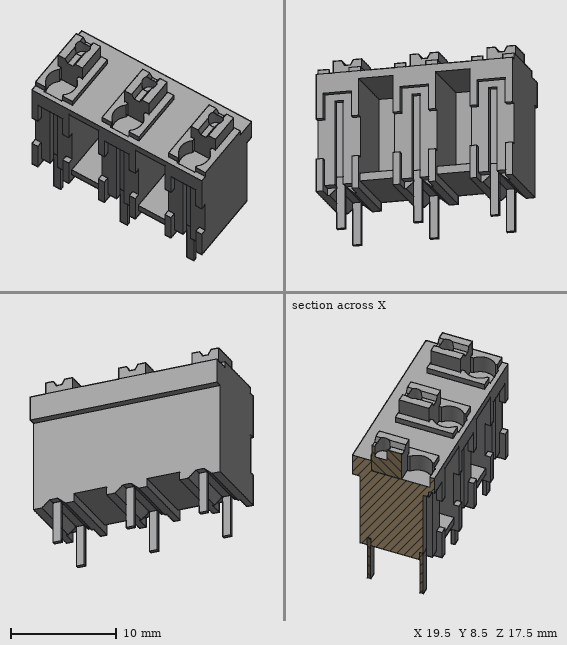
import cadquery as cq


LENGTH = 19.46
POLE_WIDTH = 4.22
PITCH = (LENGTH - POLE_WIDTH) / 2
POLE_CENTERS = [-PITCH, 0.0, PITCH]
GAP_WIDTH = PITCH - POLE_WIDTH
GAP_CENTERS = [-PITCH / 2, PITCH / 2]

DEPTH = 8.5
HOUSING_HEIGHT = 11.68
WALL = 0.78
OVERHANG = 0.78
OVERHANG_BOTTOM = 9.2
REAR_FACE = DEPTH - OVERHANG
WEB_FRONT = 0.5
WEB_TOP = 1.62
WEB_BOTTOM = WEB_TOP - WALL

FRAME_DEPTH = 0.58
FRAME_OPENING_WIDTH = 2.8
FRAME_OPENING_TOP = 9.73
PRONG_BOTTOM = 7.24
LEG_TOP = 3.23
LEG_SPACING = 2.86

PIN_WIDTH = 0.82
PIN_THICKNESS = 0.39
PIN_DROP = 3.5
PIN_TOP = WEB_TOP
PIN_FRONT_ROW = 1.17
PIN_ROW_SPACING = 5.43
PIN_ROWS = [PIN_FRONT_ROW, PIN_FRONT_ROW + PIN_ROW_SPACING]

SLOT_TOP = 9.05
RELIEF_HEIGHT = 0.7
RELIEF_BACK = PIN_FRONT_ROW + PIN_THICKNESS
CHANNEL_WIDTH = 2.47

PAD_TOP = 12.28
PAD_FRONT = 0.62
PAD_BACK = 6.6
ENTRY_FLOOR = 10.4
ENTRY_RADIUS = 1.52
ENTRY_CENTER = 1.97
ENTRY_NECK_WIDTH = 1.98
ENTRY_OFFSET = -0.04
ENTRY_FRONT = 0.49

BUTTON_WIDTH = 2.8
BUTTON_FRONT = 3.4
BUTTON_BACK = 6.5
BUTTON_TOP = 13.95
GROOVE_DEPTH = 0.5
GROOVE_TOP_WIDTH = 1.19
GROOVE_FLOOR_WIDTH = 0.58
BUTTON_HOLE_RADIUS = 0.72
BUTTON_HOLE_CENTER = 5.55
BUTTON_HOLE_FLOOR = PAD_TOP


def block(center_x, width, front, back, bottom, top):
    """A box centred on center_x, spanning front to back in Y and bottom to top in Z."""
    return (
        cq.Workplane("XY")
        .box(width, back - front, top - bottom, centered=(True, False, False))
        .translate((center_x, front, bottom))
    )


def tapered_bar(center_x, bottom_width, top_width, front, back, bottom, top):
    """A bar along Y whose section is a symmetric trapezoid."""
    return (
        cq.Workplane("XZ", origin=(center_x, front, 0))
        .moveTo(-bottom_width / 2, bottom)
        .lineTo(bottom_width / 2, bottom)
        .lineTo(top_width / 2, top)
        .lineTo(-top_width / 2, top)
        .close()
        .extrude(front - back)
    )


def make_shell():
    """Solid outline of the housing with its rear overhang, open gaps between the poles and webs."""
    shell = block(0, LENGTH, 0, REAR_FACE, 0, HOUSING_HEIGHT)
    shell = shell.union(block(0, LENGTH, REAR_FACE, DEPTH, OVERHANG_BOTTOM, HOUSING_HEIGHT))
    gap_back = REAR_FACE - WALL
    for x in GAP_CENTERS:
        shell = shell.cut(block(x, GAP_WIDTH, 0, gap_back, WEB_TOP, HOUSING_HEIGHT - WALL))
        shell = shell.cut(block(x, GAP_WIDTH, 0, WEB_FRONT, 0, WEB_TOP))
        shell = shell.cut(block(x, GAP_WIDTH, 0, REAR_FACE, 0, WEB_BOTTOM))
    return shell


def cut_front_face(housing, x):
    """Recess the pole's front wall behind the prongs and legs, and slot it above the pin."""
    housing = housing.cut(block(x, FRAME_OPENING_WIDTH, 0, FRAME_DEPTH, LEG_TOP, FRAME_OPENING_TOP))
    housing = housing.cut(block(x, LEG_SPACING, 0, FRAME_DEPTH, 0, LEG_TOP))
    housing = housing.cut(block(x, POLE_WIDTH, 0, FRAME_DEPTH, LEG_TOP, PRONG_BOTTOM))
    return housing.cut(block(x, PIN_WIDTH, 0, PIN_FRONT_ROW, 0, SLOT_TOP))


def cut_underside(housing, x):
    """Relieve the front of the pole's underside and run a tapered channel through to the rear."""
    housing = housing.cut(block(x, LEG_SPACING, 0, RELIEF_BACK, 0, RELIEF_HEIGHT))
    return housing.cut(tapered_bar(x, CHANNEL_WIDTH, PIN_WIDTH, 0, REAR_FACE, 0, RELIEF_HEIGHT))


def add_pad(housing, x):
    """Raise the pole's top pad and sink the keyhole-shaped wire entry into it."""
    housing = housing.union(block(x, POLE_WIDTH, PAD_FRONT, PAD_BACK, HOUSING_HEIGHT, PAD_TOP))
    entry_x = x + ENTRY_OFFSET
    bore = (
        cq.Workplane("XY", origin=(entry_x, ENTRY_CENTER, ENTRY_FLOOR))
        .circle(ENTRY_RADIUS)
        .extrude(PAD_TOP - ENTRY_FLOOR)
        .intersect(block(x, POLE_WIDTH, ENTRY_FRONT, BUTTON_FRONT, ENTRY_FLOOR, PAD_TOP))
    )
    neck = block(entry_x, ENTRY_NECK_WIDTH, ENTRY_FRONT, BUTTON_FRONT, ENTRY_FLOOR, PAD_TOP)
    return housing.cut(bore).cut(neck)


def make_button(x):
    """A push button with a tapered groove along its top and a blind round hole."""
    button = block(x, BUTTON_WIDTH, BUTTON_FRONT, BUTTON_BACK, ENTRY_FLOOR, BUTTON_TOP)
    groove_floor = BUTTON_TOP - GROOVE_DEPTH
    groove = tapered_bar(
        x, GROOVE_FLOOR_WIDTH, GROOVE_TOP_WIDTH, BUTTON_FRONT, BUTTON_BACK, groove_floor, BUTTON_TOP
    )
    hole = (
        cq.Workplane("XY", origin=(x, BUTTON_HOLE_CENTER, BUTTON_HOLE_FLOOR))
        .circle(BUTTON_HOLE_RADIUS)
        .extrude(BUTTON_TOP - BUTTON_HOLE_FLOOR)
    )
    return button.cut(groove).cut(hole)


def make_pin(x, front):
    """A flat solder pin whose upper end is held in the housing."""
    return block(x, PIN_WIDTH, front, front + PIN_THICKNESS, -PIN_DROP, PIN_TOP)


def make_housing():
    """The complete housing, with a matching seat for every button and pin."""
    housing = make_shell()
    for x in POLE_CENTERS:
        housing = cut_front_face(housing, x)
        housing = cut_underside(housing, x)
        housing = add_pad(housing, x)
        housing = housing.cut(block(x, BUTTON_WIDTH, BUTTON_FRONT, BUTTON_BACK, ENTRY_FLOOR, PAD_TOP))
        for front in PIN_ROWS:
            housing = housing.cut(make_pin(x, front))
    return housing


housing = make_housing()
buttons = [make_button(x) for x in POLE_CENTERS]
pins = [make_pin(x, front) for x in POLE_CENTERS for front in PIN_ROWS]

result = cq.Compound.makeCompound(
    [housing.val(), *[button.val() for button in buttons], *[pin.val() for pin in pins]]
)